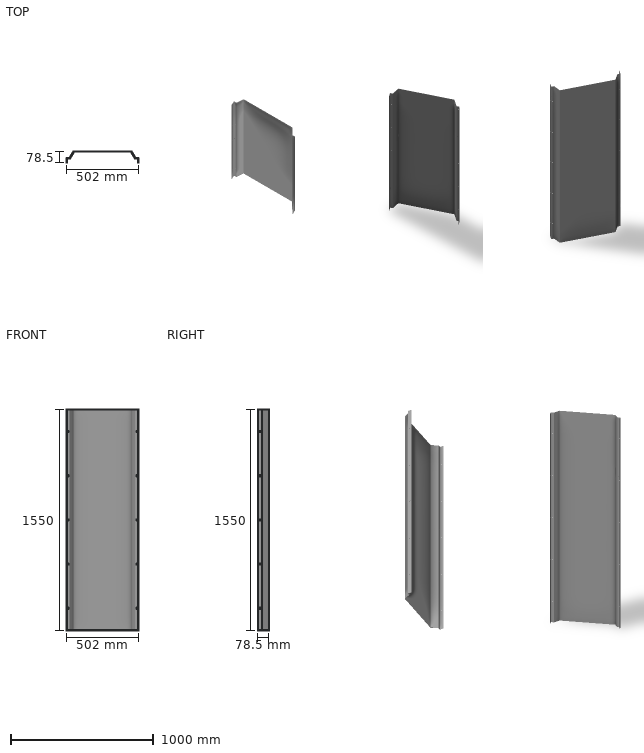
import cadquery as cq
import math

width = 502.0
depth = 78.5
length = 1550.0

thickness = 1.5
inner_bend_radius = 1.5
outer_bend_radius = inner_bend_radius + thickness

lip_depth = 30.0
flange_width = 21.0
slope_angle = math.radians(60)

hole_diameter = 5.0
hole_count = 5
hole_pitch = length / hole_count
flange_hole_inset = 9.0
lip_hole_inset = 15.0

half_width = width / 2
web_y = depth / 2
lip_end_y = -depth / 2
flange_y = lip_end_y + lip_depth
slope_run = (web_y - flange_y) / math.tan(slope_angle)
slope_foot_x = half_width - flange_width
slope_top_x = slope_foot_x - slope_run

corner_shift = thickness * math.tan(slope_angle / 2)
inner_web_y = web_y - thickness
inner_flange_y = flange_y - thickness
inner_lip_x = half_width - thickness

web_bend_outer = (slope_top_x, web_y)
web_bend_inner = (slope_top_x - corner_shift, inner_web_y)
flange_bend_inner = (slope_foot_x, flange_y)
flange_bend_outer = (slope_foot_x - corner_shift, inner_flange_y)
lip_bend_outer = (half_width, flange_y)
lip_bend_inner = (inner_lip_x, inner_flange_y)

hole_heights = [(row - (hole_count - 1) / 2) * hole_pitch for row in range(hole_count)]


def sharp_sheet():
    """Constant-thickness profile with sharp bends, extruded along Z and mirrored about X = 0."""
    right_half_outline = [
        (0, web_y),
        web_bend_outer,
        flange_bend_inner,
        lip_bend_outer,
        (half_width, lip_end_y),
        (inner_lip_x, lip_end_y),
        lip_bend_inner,
        flange_bend_outer,
        web_bend_inner,
        (0, inner_web_y),
    ]
    right_half = cq.Workplane("XY").polyline(right_half_outline).close().extrude(length / 2, both=True)
    return right_half.union(right_half.mirror("YZ")).clean()


def round_bends(sheet, corners, radius):
    """Round the lengthwise edges at the given profile corners on both sides of X = 0."""
    for x, y in corners:
        for side in (-1, 1):
            bend_edge = cq.selectors.NearestToPointSelector((side * x, y, 0))
            sheet = sheet.edges(bend_edge).fillet(radius)
    return sheet


def flange_hole_cutters():
    """Pins along Y that pierce both flanges."""
    hole_x = half_width - flange_hole_inset
    points = [(side * hole_x, z) for side in (-1, 1) for z in hole_heights]
    plane = cq.Workplane("XZ", origin=(0, flange_y, 0))
    return plane.pushPoints(points).circle(hole_diameter / 2).extrude(thickness)


def lip_hole_cutters():
    """Pins along X that run across the panel and pierce both lips."""
    points = [(lip_end_y + lip_hole_inset, z) for z in hole_heights]
    plane = cq.Workplane("YZ", origin=(-half_width, 0, 0))
    return plane.pushPoints(points).circle(hole_diameter / 2).extrude(width)


panel = sharp_sheet()
panel = round_bends(panel, [web_bend_inner, flange_bend_inner, lip_bend_inner], inner_bend_radius)
panel = round_bends(panel, [web_bend_outer, flange_bend_outer, lip_bend_outer], outer_bend_radius)
result = panel.cut(flange_hole_cutters()).cut(lip_hole_cutters())